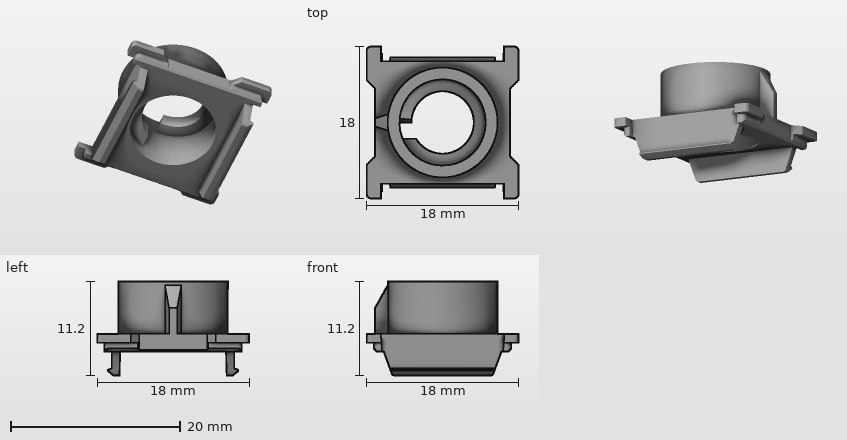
import cadquery as cq


flange_size = 18.0
layer_thickness = 1.05
lower_inset = 0.85
corner_radius = 0.55
flange_bottom = -2 * layer_thickness
waist_half_width = 8.0
waist_half_length = 4.02
lower_chamfer = 0.38

gap_half_width_top = 7.32
gap_half_width_bottom = 7.17
gap_face_y = 7.26

tube_height = 6.22
tube_radius = 6.5
bore_radius = 5.1

web_hole_radius = 3.68
web_height = 2.3
web_pitch = 4.6
web_start_angle = -165.0
web_end_angle = 181.0
seat_reference_angle = 45.0
seat_outer_z = tube_height - 1.7
seat_inner_z = seat_outer_z - 0.34
web_bottom_z = seat_outer_z - web_height

slot_straight_wall_y = -1.9
slot_leaning_wall_top_y = 0.45
slot_leaning_wall_bottom_y = -0.04

rib_outer_half_width = 0.48
rib_tube_half_width = 0.95
rib_outer_height = 3.08
rib_tube_height = 5.75

skirt_bottom = flange_bottom - 2.84
skirt_half_width_top = 6.97
skirt_half_width_bottom = 5.93
skirt_end_radius = 0.4
skirt_inner_y_top = 6.25
skirt_inner_y_bottom = 6.33
hook_reach = 0.47
hook_top_z = skirt_bottom + 0.86
hook_tip_top_z = skirt_bottom + 0.69
hook_tip_bottom_z = skirt_bottom + 0.56
hook_toe_y = 7.03

overlap = 0.3


def flange_layer(half_size, top_z):
    """One layer: a rounded square, narrowed to the waist with 45 degree shoulders on both X sides."""
    size = 2 * half_size
    layer = (
        cq.Workplane("XY", origin=(0, 0, top_z - layer_thickness))
        .rect(size, size)
        .extrude(layer_thickness)
        .edges("|Z")
        .fillet(corner_radius)
    )
    shoulder = half_size - waist_half_width
    for side in (-1, 1):
        notch = (
            cq.Workplane("XY", origin=(0, 0, top_z - layer_thickness))
            .moveTo(side * waist_half_width, -waist_half_length)
            .lineTo(side * half_size, -waist_half_length - shoulder)
            .lineTo(side * half_size, waist_half_length + shoulder)
            .lineTo(side * waist_half_width, waist_half_length)
            .close()
            .extrude(layer_thickness)
        )
        layer = layer.cut(notch)
    return layer


def make_flange():
    upper_half = flange_size / 2
    lower_half = upper_half - lower_inset
    flange = flange_layer(upper_half, 0).union(flange_layer(lower_half, -layer_thickness))
    for side in (-1, 1):
        bottom_bevel = (
            cq.Workplane("XZ")
            .moveTo(side * lower_half, flange_bottom)
            .lineTo(side * (lower_half - lower_chamfer), flange_bottom)
            .lineTo(side * lower_half, flange_bottom + lower_chamfer)
            .close()
            .extrude(upper_half, both=True)
        )
        gap = (
            cq.Workplane("XZ", origin=(0, side * gap_face_y, 0))
            .moveTo(-gap_half_width_top, 0)
            .lineTo(gap_half_width_top, 0)
            .lineTo(gap_half_width_bottom, flange_bottom)
            .lineTo(-gap_half_width_bottom, flange_bottom)
            .close()
            .extrude(-side * upper_half)
        )
        flange = flange.cut(bottom_bevel).cut(gap)
    return flange


def make_tube():
    return (
        cq.Workplane("XY", origin=(0, 0, -overlap))
        .circle(tube_radius)
        .extrude(tube_height + overlap)
    )


def make_rib():
    """Rib that widens toward the tube, under a conical top that rises to the tube wall."""
    rib_inner_x = -(tube_radius + bore_radius) / 2
    plan = (
        cq.Workplane("XY", origin=(0, 0, -overlap))
        .moveTo(-waist_half_width, -rib_outer_half_width)
        .lineTo(-tube_radius, -rib_tube_half_width)
        .lineTo(rib_inner_x, -rib_tube_half_width)
        .lineTo(rib_inner_x, rib_tube_half_width)
        .lineTo(-tube_radius, rib_tube_half_width)
        .lineTo(-waist_half_width, rib_outer_half_width)
        .close()
        .extrude(tube_height)
    )
    cone_slope = (rib_tube_height - rib_outer_height) / (waist_half_width - tube_radius)
    cone_base_radius = waist_half_width + overlap
    cone = (
        cq.Workplane("XZ")
        .moveTo(0, -overlap)
        .lineTo(-cone_base_radius, -overlap)
        .lineTo(-cone_base_radius, rib_outer_height - cone_slope * overlap)
        .lineTo(-tube_radius, rib_tube_height)
        .lineTo(0, rib_tube_height)
        .close()
        .revolve(360, (0, 0, 0), (0, 1, 0))
    )
    return plan.intersect(cone)


def make_web():
    """Ring segment swept along a helix, its two end faces cut by the slot."""
    sweep_angle = web_end_angle - web_start_angle
    rise = web_pitch * sweep_angle / 360
    start_drop = web_pitch * (seat_reference_angle - web_start_angle) / 360
    section = (
        cq.Workplane("XZ")
        .moveTo(web_hole_radius, web_bottom_z)
        .lineTo(bore_radius + overlap, web_bottom_z)
        .lineTo(bore_radius + overlap, seat_outer_z)
        .lineTo(bore_radius, seat_outer_z)
        .lineTo(web_hole_radius, seat_inner_z)
        .close()
    )
    helix = cq.Wire.makeHelix(web_pitch, rise, bore_radius, center=cq.Vector(0, 0, seat_outer_z))
    web = (
        section.sweep(cq.Workplane(obj=helix), isFrenet=True)
        .rotate((0, 0, 0), (0, 0, 1), web_start_angle)
        .translate((0, 0, -start_drop))
    )
    slot_bottom_z = web_bottom_z - web_pitch
    slot_top_z = tube_height + web_pitch
    slot = (
        cq.Workplane("YZ")
        .moveTo(slot_straight_wall_y, slot_bottom_z)
        .lineTo(slot_leaning_wall_bottom_y, slot_bottom_z)
        .lineTo(slot_leaning_wall_bottom_y, tube_height - web_height)
        .lineTo(slot_leaning_wall_top_y, tube_height)
        .lineTo(slot_leaning_wall_top_y, slot_top_z)
        .lineTo(slot_straight_wall_y, slot_top_z)
        .close()
        .extrude(-tube_radius)
    )
    return web.cut(slot)


def make_skirt(side):
    """Tapered skirt with an outward snap hook along its lower edge; side is the sign of Y."""
    section = (
        cq.Workplane("YZ")
        .moveTo(side * skirt_inner_y_top, flange_bottom + overlap)
        .lineTo(side * gap_face_y, flange_bottom + overlap)
        .lineTo(side * gap_face_y, hook_top_z)
        .lineTo(side * (gap_face_y + hook_reach), hook_tip_top_z)
        .lineTo(side * (gap_face_y + hook_reach), hook_tip_bottom_z)
        .lineTo(side * hook_toe_y, skirt_bottom)
        .lineTo(side * skirt_inner_y_bottom, skirt_bottom)
        .lineTo(side * skirt_inner_y_top, flange_bottom)
        .close()
        .extrude(skirt_half_width_top, both=True)
    )
    outline = (
        cq.Workplane("XZ")
        .moveTo(-skirt_half_width_top, flange_bottom + overlap)
        .lineTo(skirt_half_width_top, flange_bottom + overlap)
        .lineTo(skirt_half_width_top, flange_bottom)
        .lineTo(skirt_half_width_bottom, skirt_bottom)
        .lineTo(-skirt_half_width_bottom, skirt_bottom)
        .lineTo(-skirt_half_width_top, flange_bottom)
        .close()
        .extrude(flange_size / 2, both=True)
        .edges("|Y and <Z")
        .fillet(skirt_end_radius)
    )
    return section.intersect(outline)


bore = (
    cq.Workplane("XY", origin=(0, 0, flange_bottom))
    .circle(bore_radius)
    .extrude(tube_height - flange_bottom)
)

result = make_flange().union(make_tube()).union(make_rib()).cut(bore).union(make_web())
for skirt_side in (-1, 1):
    result = result.union(make_skirt(skirt_side))